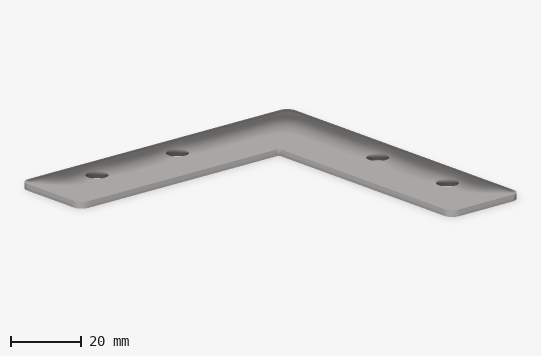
import cadquery as cq

arm_length = 100.0
arm_width = 26.0
thickness = 2.0
corner_radius = 3.0
inner_radius = 1.0

hole_diameter = 6.5
hole_edge_offset = 10.0
hole_distances = (50.0, 80.0)


def make_plate():
    """L-shaped plate with its outer corner at the -X, +Y end."""
    outline = [
        (0, 0),
        (arm_length, 0),
        (arm_length, -arm_width),
        (arm_width, -arm_width),
        (arm_width, -arm_length),
        (0, -arm_length),
    ]
    plate = cq.Workplane("XY").polyline(outline).close().extrude(thickness)

    inner_corner = cq.selectors.NearestToPointSelector((arm_width, -arm_width, thickness / 2))
    vertical_edges = cq.selectors.StringSyntaxSelector("|Z")
    plate = plate.edges(vertical_edges - inner_corner).fillet(corner_radius)
    return plate.edges(vertical_edges).edges(inner_corner).fillet(inner_radius)


def make_holes():
    """Through-hole cutters, mirrored about the plate's diagonal."""
    centers = []
    for distance in hole_distances:
        centers.append((distance, -hole_edge_offset))
        centers.append((hole_edge_offset, -distance))
    return cq.Workplane("XY").pushPoints(centers).circle(hole_diameter / 2).extrude(thickness)


result = make_plate().cut(make_holes())